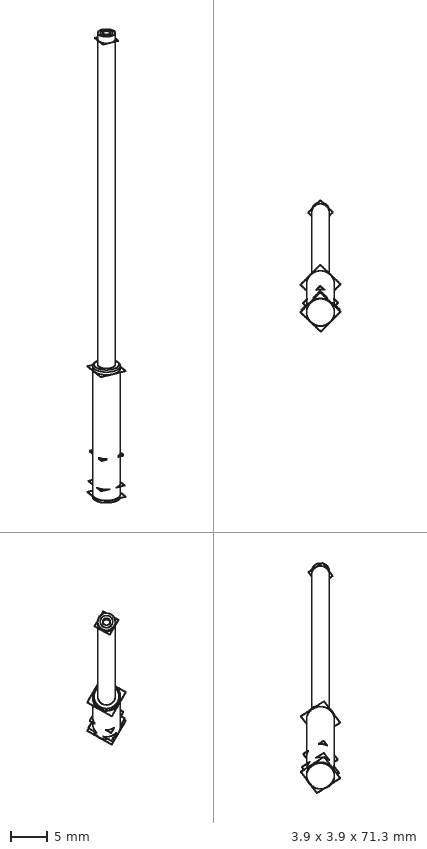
import cadquery as cq

total_height = 71.35
plate_thickness = 0.015

sleeve_radius = 1.9
sleeve_top = 20.35
sleeve_chamfer = 0.2
cap_height = 0.35

end_plate_side = 3.9
foot_plate_side = 3.7
foot_plate_height = 2.1
middle_plate_side = 3.4
middle_plate_height = 6.65
middle_plate_thickness = 0.15
top_plate_height = 19.7
sleeve_plates = [
    (end_plate_side, cap_height, plate_thickness),
    (foot_plate_side, foot_plate_height, plate_thickness),
    (middle_plate_side, middle_plate_height, middle_plate_thickness),
    (end_plate_side, top_plate_height, plate_thickness),
]

rod_radius = 1.2

tip_height = 1.0
tip_bottom = total_height - tip_height
tip_plate_side = 2.4
liner_outer_radius = 0.85
liner_bore_radius = 0.5


def cylinder(radius, bottom, top):
    """Round bar on the Z axis between two heights."""
    return cq.Workplane("XY").workplane(offset=bottom).circle(radius).extrude(top - bottom)


def square_plate(side, bottom, thickness):
    """Thin square plate centred on the Z axis."""
    return cq.Workplane("XY").workplane(offset=bottom).rect(side, side).extrude(thickness)


def make_cap():
    """Plain disc closing the lower end of the sleeve."""
    return cylinder(sleeve_radius, 0, cap_height)


def make_sleeve():
    """Chamfered round body carrying the square plates."""
    sleeve = cylinder(sleeve_radius, cap_height, sleeve_top).faces(">Z").chamfer(sleeve_chamfer)
    for side, bottom, thickness in sleeve_plates:
        sleeve = sleeve.union(square_plate(side, bottom, thickness))
    return sleeve


def make_rod():
    """Slender bar between the sleeve and the tip."""
    return cylinder(rod_radius, sleeve_top, tip_bottom)


def make_tip():
    """Bored ring on a thin square plate."""
    tip = cylinder(rod_radius, tip_bottom, total_height)
    tip = tip.union(square_plate(tip_plate_side, tip_bottom, plate_thickness))
    return tip.cut(cylinder(liner_outer_radius, tip_bottom, total_height))


def make_liner():
    """Tube filling the tip ring, flush with both of its ends."""
    liner = cylinder(liner_outer_radius, tip_bottom, total_height)
    return liner.cut(cylinder(liner_bore_radius, tip_bottom, total_height))


cap = make_cap()
sleeve = make_sleeve()
rod = make_rod()
tip = make_tip()
liner = make_liner()

result = cq.Compound.makeCompound([cap.val(), sleeve.val(), rod.val(), tip.val(), liner.val()])